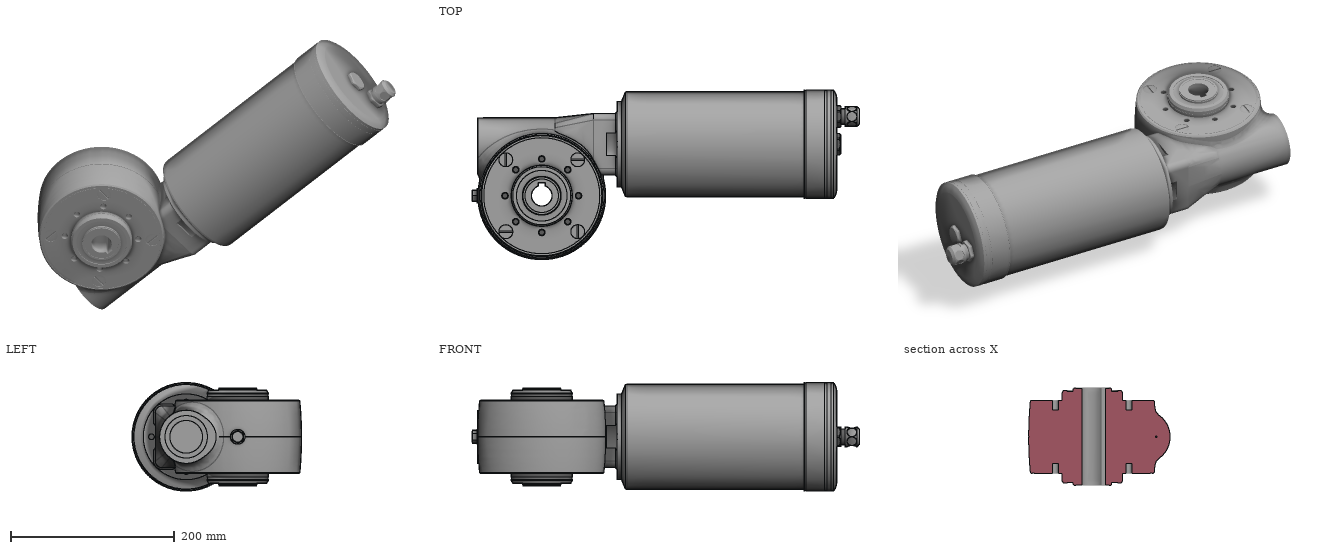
import cadquery as cq
import math

CENTRE_DISTANCE = 63.0

GEAR_RADIUS = 78.26
GEAR_HALF_HEIGHT = 45.0
GEAR_CROWN = 2.2
GEAR_EDGE_CHAMFER = 1.5
PARTING_GROOVE_WIDTH = 0.8
PARTING_GROOVE_DEPTH = 0.5
COVER_RADIUS = 71.0
COVER_RIM_WIDTH = 2.5
COVER_RIM_DEPTH = 0.4

BOSS_RADIUS = 75.0 / 2
BOSS_TOP = 57.0
BOSS_ROUND_START = 53.5
BOSS_TOP_RADIUS = 35.5
BOSS_GROOVE_BASE = 49.3
BOSS_GROOVE_HEIGHT = 2.8
BOSS_GROOVE_DEPTH = 0.25
SEAL_RADIUS = 62.0 / 2
SEAL_DEPTH = 1.0
SHAFT_RADIUS = 47.5 / 2
SHAFT_TOP = 60.0
SHAFT_TIP_RADIUS = 46.0 / 2
SHAFT_TIP_START = 58.5
SHAFT_FACE_RADIUS = 20.5
SHAFT_FACE_DEPTH = 0.5
BORE_DIAMETER = 25.0
KEYWAY_WIDTH = 8.0
KEYWAY_TOP = 15.8

TAPPED_CIRCLE_RADIUS = 45.0
TAPPED_COUNT = 8
TAPPED_DIAMETER = 6.65
TAPPED_MOUTH_DIAMETER = 8.0
TAPPED_DEPTH = 12.0
SCREW_OFFSET = 44.0
SCREW_DIAMETER = 17.0
SCREW_RECESS = 0.5
SLOT_WIDTH = 2.0
SLOT_DEPTH = 1.5

PLUG_END = -85.4
PLUG_ACROSS_FLATS = 14.0
PLUG_FACE_DIAMETER = 13.0
PLUG_FACE_HEIGHT = 0.4
PLUG_WASHER_DIAMETER = 18.0
PLUG_WASHER_FACE = -79.5
PLUG_ROOT = -70.0

WORM_RADIUS = 32.5
WORM_END = -78.5
WORM_CAP_DIAMETER = 52.0
WORM_CAP_INNER_DIAMETER = 40.0
WORM_CAP_DEPTH = 0.5
WORM_FILLET = 11.0
WORM_BLANK_OVERHANG = 30.0
NECK_START = 16.0
NECK_SQUARE_START = 63.5
NECK_END = 79.0
NECK_SIZE = 75.5
NECK_CORNER = 8.0

ADAPTER_FLARE_START = 90.0
ADAPTER_FLARE = 2.3
SCALLOP_RADIUS = 25.0
SCALLOP_FLOOR = 33.7
CONE_ANGLE = 45.0
FLANGE_START = ADAPTER_FLARE_START + ADAPTER_FLARE
FLANGE_RADIUS = 105.0 / 2
FLANGE_BOLT_RADIUS = 42.5
FLANGE_BOLT_DIAMETER = 7.0
BOLT_COUNT = 4

MOTOR_START = 97.6
MOTOR_NOSE_RADIUS = FLANGE_RADIUS
MOTOR_RADIUS = 129.0 / 2
MOTOR_SHOULDER = 102.3
MOTOR_RIM_STEP = 0.5
MOTOR_RIM_END = 104.5
CAP_START = 321.0
CAP_RADIUS = 133.0 / 2
CAP_ROUND_START = 357.0
CAP_ROUND_X = 359.8
CAP_ROUND_RADIUS = 62.0
CAP_END = 361.3
CAP_END_RADIUS = 55.0
CAP_GROOVE_STARTS = (346.0, 353.7)
CAP_GROOVE_WIDTH = 3.3
CAP_GROOVE_DEPTH = 0.25
CAP_GAP_OFFSET = 0.6
CAP_GAP_WIDTH = 2.0
CAP_GAP_DEPTH = 0.5

GLAND_Y = CENTRE_DISTANCE + 34.0
HEX_SIDES = 6
HEX_ACROSS_FLATS = 24.0
HEX_TURNED_DIAMETER = 26.5
GLAND_HEX_CHAMFER = 1.2
GLAND_HEX_LENGTH = 5.0
GLAND_STEM_DIAMETER = 19.5
GLAND_NUT_START = 371.3
GLAND_NUT_DIAMETER = 24.5
GLAND_NUT_CHAMFER = 3.0
GLAND_END = 388.9
GLAND_FLAT_CENTRE = 379.6
GLAND_FLAT_DIAMETER = 12.0
GLAND_FLAT_HEIGHT = 10.7
BLANK_HEX_LENGTH = 4.8
BLANK_HEX_CHAMFER = 2.0


def x_plane(x, y=CENTRE_DISTANCE):
    """Workplane at X = x facing +X; its local axes are Y and Z."""
    return cq.Workplane("YZ", origin=(x, y, 0))


def x_cylinder(radius, start, end, y=CENTRE_DISTANCE):
    return x_plane(start, y).circle(radius).extrude(end - start)


def z_ring(outer, inner, base, height):
    plane = cq.Workplane("XY", origin=(0, 0, base))
    return plane.circle(outer).circle(inner).extrude(height)


def x_hexagon(across_flats, start, end, y, corners_on_z=False):
    """Hexagonal bar along X with two corners on the Y or on the Z direction."""
    corner_diameter = across_flats / math.cos(math.pi / HEX_SIDES)
    bar = x_plane(start, y).polygon(HEX_SIDES, corner_diameter).extrude(end - start)
    turn = 90 if corners_on_z else 0
    return bar.rotate((0, y, 0), (1, y, 0), turn)


def gear_drum():
    """Barrel-shaped gear housing, widest at the parting plane."""
    end_radius = GEAR_RADIUS - GEAR_CROWN
    profile = (
        cq.Workplane("XZ")
        .moveTo(0, -GEAR_HALF_HEIGHT)
        .lineTo(end_radius, -GEAR_HALF_HEIGHT)
        .threePointArc((GEAR_RADIUS, 0), (end_radius, GEAR_HALF_HEIGHT))
        .lineTo(0, GEAR_HALF_HEIGHT)
        .close()
    )
    return profile.revolve(360, (0, 0, 0), (0, 1, 0))


def filleted_housing():
    """Gear drum joined to the worm housing with a fillet round their meeting line."""
    blank = x_cylinder(WORM_RADIUS, WORM_END - WORM_BLANK_OVERHANG, NECK_END)
    body = gear_drum().union(blank)
    body = body.edges("%BSPLINE").fillet(WORM_FILLET)
    trim_size = 2 * GEAR_RADIUS
    trim = cq.Workplane("XY").box(
        WORM_BLANK_OVERHANG, 2 * trim_size, trim_size, centered=(False, True, True)
    )
    return body.cut(trim.translate((WORM_END - WORM_BLANK_OVERHANG, 0, 0)))


def square_section():
    return cq.Sketch().rect(NECK_SIZE, NECK_SIZE).vertices().fillet(NECK_CORNER)


def neck():
    """Transition from the round worm housing to the square adapter."""
    square = square_section()
    round_end = cq.Sketch().circle(WORM_RADIUS)
    length = NECK_SQUARE_START - NECK_START
    taper = x_plane(NECK_START).placeSketch(
        round_end, square.moved(cq.Location(cq.Vector(0, 0, length)))
    ).loft()
    prism = x_plane(NECK_SQUARE_START).placeSketch(square).extrude(NECK_END - NECK_SQUARE_START)
    return taper.union(prism)


def adapter():
    """Square block with scalloped sides, flaring into the round motor flange."""
    block = x_plane(NECK_END).placeSketch(square_section()).extrude(ADAPTER_FLARE_START - NECK_END)
    flare = (
        x_plane(ADAPTER_FLARE_START)
        .placeSketch(square_section())
        .extrude(ADAPTER_FLARE, taper=-CONE_ANGLE)
    )
    block = block.union(flare)
    scallops = (
        x_plane(NECK_END)
        .polarArray(SCALLOP_FLOOR + SCALLOP_RADIUS, 0, 360, BOLT_COUNT)
        .circle(SCALLOP_RADIUS)
        .extrude(FLANGE_START - NECK_END)
    )
    flange = x_cylinder(FLANGE_RADIUS, FLANGE_START, MOTOR_START)
    bolt_holes = (
        x_plane(FLANGE_START)
        .polarArray(FLANGE_BOLT_RADIUS, 0, 360, BOLT_COUNT)
        .circle(FLANGE_BOLT_DIAMETER / 2)
        .extrude(MOTOR_START - FLANGE_START)
    )
    return block.cut(scallops).union(flange.cut(bolt_holes))


def motor_groove(start, width, depth):
    ring = x_plane(start).circle(CAP_RADIUS + depth).circle(CAP_RADIUS - depth)
    return ring.extrude(width)


def motor():
    """Motor case with a coned nose and a larger rear cap with a rounded edge."""
    case = (
        cq.Workplane("XY", origin=(0, CENTRE_DISTANCE, 0))
        .moveTo(MOTOR_START, 0)
        .lineTo(MOTOR_START, MOTOR_NOSE_RADIUS)
        .lineTo(MOTOR_SHOULDER, MOTOR_RADIUS - MOTOR_RIM_STEP)
        .lineTo(MOTOR_RIM_END, MOTOR_RADIUS)
        .lineTo(CAP_START, MOTOR_RADIUS)
        .lineTo(CAP_START, 0)
        .close()
        .revolve(360, (0, 0, 0), (1, 0, 0))
    )
    cap = (
        cq.Workplane("XY", origin=(0, CENTRE_DISTANCE, 0))
        .moveTo(CAP_START, 0)
        .lineTo(CAP_START, CAP_RADIUS)
        .lineTo(CAP_ROUND_START, CAP_RADIUS)
        .threePointArc((CAP_ROUND_X, CAP_ROUND_RADIUS), (CAP_END, CAP_END_RADIUS))
        .lineTo(CAP_END, 0)
        .close()
        .revolve(360, (0, 0, 0), (1, 0, 0))
    )
    body = case.union(cap)
    body = body.cut(motor_groove(CAP_START + CAP_GAP_OFFSET, CAP_GAP_WIDTH, CAP_GAP_DEPTH))
    for start in CAP_GROOVE_STARTS:
        body = body.cut(motor_groove(start, CAP_GROOVE_WIDTH, CAP_GROOVE_DEPTH))
    return body


def chamfered_hex(start, end, y, face_chamfer):
    """Hexagon head on the motor end, its corners turned off at the outer face."""
    head = x_hexagon(HEX_ACROSS_FLATS, start, end, y)
    turned = x_cylinder(HEX_TURNED_DIAMETER / 2, start, end, y)
    return head.intersect(turned.faces(">X").chamfer(face_chamfer))


def cable_gland():
    hex_end = CAP_END + GLAND_HEX_LENGTH
    base = chamfered_hex(CAP_END, hex_end, GLAND_Y, GLAND_HEX_CHAMFER)
    stem = x_cylinder(GLAND_STEM_DIAMETER / 2, hex_end, GLAND_NUT_START, GLAND_Y)
    nut = x_cylinder(GLAND_NUT_DIAMETER / 2, GLAND_NUT_START, GLAND_END, GLAND_Y)
    nut = nut.faces(">X").chamfer(GLAND_NUT_CHAMFER)
    flat_cutter = (
        cq.Workplane("XY", origin=(GLAND_FLAT_CENTRE, GLAND_Y, GLAND_FLAT_HEIGHT))
        .circle(GLAND_FLAT_DIAMETER / 2)
        .extrude(GLAND_NUT_DIAMETER / 2)
    )
    for index in range(HEX_SIDES):
        turn = index * 360 / HEX_SIDES
        nut = nut.cut(flat_cutter.rotate((0, GLAND_Y, 0), (1, GLAND_Y, 0), turn))
    return base.union(stem).union(nut)


def oil_plug():
    washer = x_cylinder(PLUG_WASHER_DIAMETER / 2, PLUG_WASHER_FACE, PLUG_ROOT, 0)
    head_face = PLUG_END + PLUG_FACE_HEIGHT
    head = x_hexagon(PLUG_ACROSS_FLATS, head_face, PLUG_ROOT, 0, corners_on_z=True)
    face = x_cylinder(PLUG_FACE_DIAMETER / 2, PLUG_END, head_face, 0)
    return washer.union(head).union(face)


def end_boss():
    """Bearing boss with the hollow shaft end, on the +Z face."""
    boss = (
        cq.Workplane("XZ")
        .lineTo(BOSS_RADIUS, 0)
        .lineTo(BOSS_RADIUS, BOSS_ROUND_START)
        .lineTo(BOSS_TOP_RADIUS, BOSS_TOP)
        .lineTo(0, BOSS_TOP)
        .close()
        .revolve(360, (0, 0, 0), (0, 1, 0))
    )
    groove = z_ring(
        BOSS_RADIUS + BOSS_GROOVE_DEPTH,
        BOSS_RADIUS - BOSS_GROOVE_DEPTH,
        BOSS_GROOVE_BASE,
        BOSS_GROOVE_HEIGHT,
    )
    bore_radius = BORE_DIAMETER / 2
    seal = z_ring(SEAL_RADIUS, SHAFT_RADIUS, BOSS_TOP - SEAL_DEPTH, SEAL_DEPTH)
    shaft = z_ring(SHAFT_RADIUS, bore_radius, 0, SHAFT_TIP_START)
    tip = z_ring(SHAFT_TIP_RADIUS, bore_radius, SHAFT_TIP_START, SHAFT_TOP - SHAFT_TIP_START)
    face = z_ring(SHAFT_FACE_RADIUS, bore_radius, SHAFT_TOP - SHAFT_FACE_DEPTH, SHAFT_FACE_DEPTH)
    return boss.cut(groove).cut(seal).union(shaft).union(tip).cut(face)


def end_face_cuts():
    """Everything sunk into the +Z face of the gear housing."""
    rim = z_ring(
        COVER_RADIUS + COVER_RIM_WIDTH,
        COVER_RADIUS,
        GEAR_HALF_HEIGHT - COVER_RIM_DEPTH,
        COVER_RIM_DEPTH,
    )
    face = cq.Workplane("XY", origin=(0, 0, GEAR_HALF_HEIGHT))
    tapped = face.polarArray(TAPPED_CIRCLE_RADIUS, 0, 360, TAPPED_COUNT)
    holes = tapped.circle(TAPPED_DIAMETER / 2).extrude(-TAPPED_DEPTH)
    mouth_depth = (TAPPED_MOUTH_DIAMETER - TAPPED_DIAMETER) / 2
    mouths = (
        face.polarArray(TAPPED_CIRCLE_RADIUS, 0, 360, TAPPED_COUNT)
        .circle(TAPPED_MOUTH_DIAMETER / 2)
        .extrude(-mouth_depth, taper=CONE_ANGLE)
    )
    cuts = rim.union(holes).union(mouths)
    for x_side in (-1, 1):
        for y_side in (-1, 1):
            centre = face.center(x_side * SCREW_OFFSET, y_side * SCREW_OFFSET)
            recess = centre.circle(SCREW_DIAMETER / 2).extrude(-SCREW_RECESS)
            if x_side == y_side:
                slot = centre.rect(SCREW_DIAMETER, SLOT_WIDTH)
            else:
                slot = centre.rect(SLOT_WIDTH, SCREW_DIAMETER)
            cuts = cuts.union(recess).union(slot.extrude(-SCREW_RECESS - SLOT_DEPTH))
    return cuts


def bore():
    length = 2 * SHAFT_TOP
    hole = cq.Workplane("XY").circle(BORE_DIAMETER / 2).extrude(SHAFT_TOP, both=True)
    keyway = cq.Workplane("XY").box(KEYWAY_WIDTH, KEYWAY_TOP, length, centered=(True, False, True))
    return hole.union(keyway)


def parting_groove():
    return z_ring(
        GEAR_RADIUS + PARTING_GROOVE_DEPTH,
        GEAR_RADIUS - PARTING_GROOVE_DEPTH,
        -PARTING_GROOVE_WIDTH / 2,
        PARTING_GROOVE_WIDTH,
    )


def worm_end_groove():
    """Shallow step marking the bearing cover on the free end of the worm housing."""
    ring = x_plane(WORM_END).circle(WORM_CAP_DIAMETER / 2).circle(WORM_CAP_INNER_DIAMETER / 2)
    return ring.extrude(WORM_CAP_DEPTH)


result = filleted_housing()
result = result.faces("<Z or >Z").chamfer(GEAR_EDGE_CHAMFER)
result = result.cut(parting_groove()).cut(worm_end_groove())

top_cuts = end_face_cuts()
top_boss = end_boss()
result = result.cut(top_cuts).cut(top_cuts.mirror("XY"))
result = result.union(top_boss).union(top_boss.mirror("XY"))
result = result.union(neck()).union(adapter()).union(motor())
result = result.union(cable_gland())
blank_end = CAP_END + BLANK_HEX_LENGTH
result = result.union(chamfered_hex(CAP_END, blank_end, CENTRE_DISTANCE, BLANK_HEX_CHAMFER))
result = result.union(oil_plug()).cut(bore())